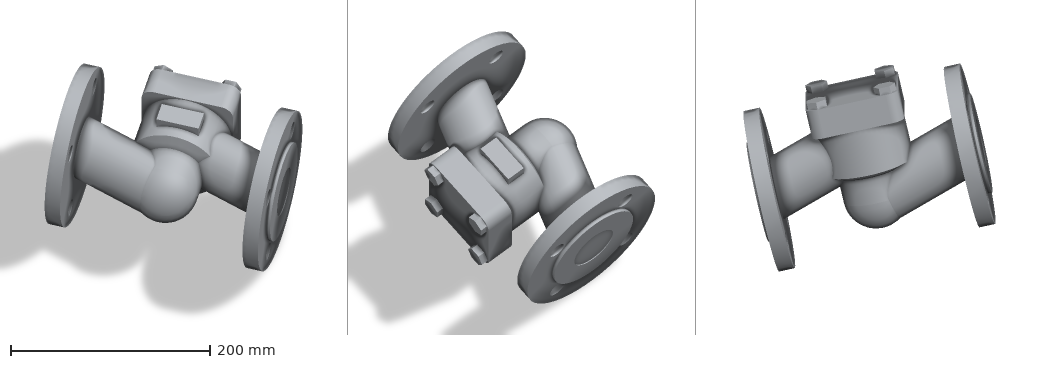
import cadquery as cq
import math


overall_length = 230.0
flange_diameter = 165.0
flange_thickness = 16.0
raised_face_diameter = 102.0
raised_face_height = 4.0
bolt_circle_diameter = 125.0
flange_hole_diameter = 18.0
flange_hole_count = 4
port_diameter = 50.0
port_depth = 1.0

pipe_diameter = 61.2
pipe_angle = 18.0

neck_radius = 33.1
neck_sphere_y = -29.7
cone_bottom_y = -2.5
chamber_bottom_y = 3.2
chamber_radius = 46.0

bonnet_bottom_y = 51.0
bonnet_top_y = 81.0
bonnet_width = 95.0
bonnet_corner_radius = 12.5
bonnet_bolt_spacing = 70.0
bolt_head_across_flats = 19.3
bolt_head_top_y = 88.3

pad_length = 44.0
pad_width = 20.0
pad_center_y = 24.8
pad_top_z = 53.0

flange_inner_x = overall_length / 2 - raised_face_height - flange_thickness
bolt_circumradius = bolt_head_across_flats / math.sqrt(3)


def along_y(start_y):
    """Workplane facing +Y at the given height; its local axes are (X, -Z)."""
    return cq.Workplane("XZ", origin=(0, start_y, 0)).transformed(rotate=(180, 0, 0))


def inlet_half():
    """Flange and inclined pipe on the -X side."""
    face = cq.Workplane("YZ", origin=(-overall_length / 2, 0, 0))
    raised_face = face.circle(raised_face_diameter / 2).extrude(raised_face_height)
    flange = (
        face.workplane(offset=raised_face_height)
        .circle(flange_diameter / 2)
        .extrude(flange_thickness)
        .faces("<X")
        .workplane()
        .polarArray(bolt_circle_diameter / 2, 45, 360, flange_hole_count)
        .hole(flange_hole_diameter)
    )

    angle = math.radians(pipe_angle)
    direction = cq.Vector(math.cos(angle), -math.sin(angle), 0)
    sunk_length = pipe_diameter / 2 * math.tan(angle)
    start = cq.Vector(-flange_inner_x, 0, 0) - direction * sunk_length
    pipe_length = flange_inner_x / math.cos(angle) + sunk_length
    pipe = cq.Workplane(cq.Solid.makeCylinder(pipe_diameter / 2, pipe_length, start, direction))

    port = face.circle(port_diameter / 2).extrude(port_depth)
    return raised_face.union(flange).union(pipe).cut(port)


def valve_body():
    """Chamber, cone, neck and spherical bottom turned about the Y axis."""
    return (
        cq.Workplane("XY")
        .moveTo(0, bonnet_bottom_y)
        .lineTo(chamber_radius, bonnet_bottom_y)
        .lineTo(chamber_radius, chamber_bottom_y)
        .lineTo(neck_radius, cone_bottom_y)
        .lineTo(neck_radius, neck_sphere_y)
        .radiusArc((0, neck_sphere_y - neck_radius), neck_radius)
        .close()
        .revolve(360, (0, 0, 0), (0, 1, 0))
    )


def bonnet():
    """Square bonnet with rounded corners."""
    return (
        along_y(bonnet_bottom_y)
        .rect(bonnet_width, bonnet_width)
        .extrude(bonnet_top_y - bonnet_bottom_y)
        .edges("|Y")
        .fillet(bonnet_corner_radius)
    )


def bonnet_bolts():
    """Four hexagon heads, each turned a quarter turn from its neighbour."""
    half_spacing = bonnet_bolt_spacing / 2
    head = (
        along_y(bonnet_top_y)
        .center(half_spacing, -half_spacing)
        .polygon(6, 2 * bolt_circumradius)
        .extrude(bolt_head_top_y - bonnet_top_y)
    )
    heads = cq.Workplane("XY")
    for quarter in range(4):
        heads = heads.add(head.rotate((0, 0, 0), (0, 1, 0), 90 * quarter))
    return heads.combine()


def name_plate_pad():
    """Rectangular pad rising from inside the chamber."""
    return (
        cq.Workplane("XY", origin=(0, pad_center_y, 0))
        .rect(pad_length, pad_width)
        .extrude(pad_top_z)
    )


inlet = inlet_half()
outlet = inlet.rotate((0, 0, 0), (0, 0, 1), 180)

result = valve_body().union(inlet).union(outlet)
result = result.union(bonnet()).union(bonnet_bolts()).union(name_plate_pad())